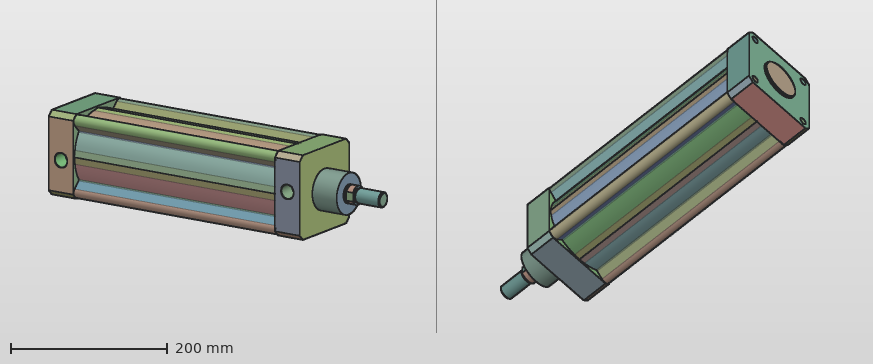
import cadquery as cq
import math

TOTAL_LENGTH = 483.0
BOSS_LENGTH = 3.5
CAP_LENGTH = 38.0
BARREL_LENGTH = 312.0
COLLAR_LENGTH = 37.5

CAP_SIDE = 112.0
CAP_CHAMFER = 7.2
COLLAR_DIAMETER = 55.0
BOSS_CHAMFER = 1.0
PORT_DIAMETER = 19.0
PORT_DEPTH = 24.0
PORT_CHAMFER = 0.5
PORT_OFFSET = 6.5
SCREW_HOLE_DIAMETER = 10.0
SCREW_HOLE_OFFSET = 44.5

RIDGE_HEIGHT = 53.5
RIDGE_HALF_WIDTH = 9.0
SIDE_ARC_RADIUS = 52.5
SIDE_ARC_SHIFT = 2.0
RIB_WIDTH = 15.5
RIB_RADIUS = RIB_WIDTH / 2
RIB_ROOT_FILLET = 1.5
RIB_CENTRE = 47.5

ROD_DIAMETER = 25.0
ROD_PROJECTION = 14.0
ROD_GROOVE_OFFSET = 2.0
ROD_GROOVE_WIDTH = 1.5
ROD_GROOVE_DEPTH = 0.5
FLATS_WIDTH = 22.0
FLATS_LENGTH = 10.0
NECK_DIAMETER = 19.0
NECK_LENGTH = 2.5
THREAD_DIAMETER = 20.5
THREAD_CHAMFER = 1.5

TOLERANCE = 0.005

REAR_CAP_START = BOSS_LENGTH
BARREL_START = REAR_CAP_START + CAP_LENGTH
FRONT_CAP_START = BARREL_START + BARREL_LENGTH
COLLAR_START = FRONT_CAP_START + CAP_LENGTH
COLLAR_END = COLLAR_START + COLLAR_LENGTH
ROD_SHOULDER = COLLAR_END + ROD_PROJECTION
ROD_GROOVE_START = COLLAR_END + ROD_GROOVE_OFFSET
THREAD_START = ROD_SHOULDER + NECK_LENGTH


def section_plane(x):
    """Plane across the axis at x, with local X along +Y and local Y along +Z."""
    return cq.Workplane("YZ", origin=(x, 0, 0))


def axial_cylinder(x_start, x_end, diameter):
    return section_plane(x_start).circle(diameter / 2).extrude(x_end - x_start)


def cap_block(x_start):
    block = section_plane(x_start).rect(CAP_SIDE, CAP_SIDE).extrude(CAP_LENGTH)
    return block.edges("|X").chamfer(CAP_CHAMFER)


def port_cutter(cap_start, z):
    """Blind air port with a chamfered mouth, in the -Y side of a cap midway along its length."""
    plane = cq.Workplane("XZ", origin=(cap_start + CAP_LENGTH / 2, -CAP_SIDE / 2, z))
    bore = plane.circle(PORT_DIAMETER / 2).extrude(-PORT_DEPTH)
    mouth = cq.Solid.makeCone(
        PORT_DIAMETER / 2 + PORT_CHAMFER,
        PORT_DIAMETER / 2,
        PORT_CHAMFER,
        pnt=plane.plane.origin,
        dir=cq.Vector(0, 1, 0),
    )
    return bore.union(cq.Workplane(mouth))


def make_rear_cap():
    """Rear cap with a low round boss, four through screw holes and an air port."""
    boss = axial_cylinder(0, REAR_CAP_START, COLLAR_DIAMETER)
    boss = boss.faces("<X").edges().chamfer(BOSS_CHAMFER)
    cap = cap_block(REAR_CAP_START).union(boss)
    screw_holes = (
        section_plane(REAR_CAP_START)
        .rect(2 * SCREW_HOLE_OFFSET, 2 * SCREW_HOLE_OFFSET, forConstruction=True)
        .vertices()
        .circle(SCREW_HOLE_DIAMETER / 2)
        .extrude(CAP_LENGTH)
    )
    return cap.cut(screw_holes).cut(port_cutter(REAR_CAP_START, -PORT_OFFSET))


def make_front_cap():
    """Front cap with a long round collar, a bore for the rod and an air port."""
    collar = axial_cylinder(COLLAR_START, COLLAR_END, COLLAR_DIAMETER)
    cap = cap_block(FRONT_CAP_START).union(collar)
    rod_bore = axial_cylinder(FRONT_CAP_START, COLLAR_END, ROD_DIAMETER)
    return cap.cut(rod_bore).cut(port_cutter(FRONT_CAP_START, PORT_OFFSET))


def rotated(point, quarter_turns):
    """Turn a section point by whole quarter turns about the axis."""
    y, z = point
    for _ in range(quarter_turns % 4):
        y, z = -z, y
    return (y, z)


def mirrored(point):
    """Mirror a section point to the other side of the ridge."""
    y, z = point
    return (-y, z)


def side_arc_point(across):
    """Point on the curved half of the +Z side, `across` away from the ridge towards +Y."""
    height = math.sqrt(SIDE_ARC_RADIUS**2 - (across - SIDE_ARC_SHIFT) ** 2)
    return (across, height)


def barrel_core():
    """Four equal sides, each a low ridge between two arcs that run down to the diagonals."""
    half_shift = SIDE_ARC_SHIFT / 2
    diagonal = half_shift + math.sqrt(SIDE_ARC_RADIUS**2 / 2 - half_shift**2)
    ridge_foot = side_arc_point(RIDGE_HALF_WIDTH)
    arc_middle = side_arc_point((RIDGE_HALF_WIDTH + diagonal) / 2)

    outline = section_plane(BARREL_START).moveTo(-diagonal, diagonal)
    for turns in range(0, -4, -1):
        outline = outline.threePointArc(
            rotated(mirrored(arc_middle), turns), rotated(mirrored(ridge_foot), turns)
        )
        outline = outline.lineTo(*rotated((0, RIDGE_HEIGHT), turns))
        outline = outline.lineTo(*rotated(ridge_foot, turns))
        outline = outline.threePointArc(rotated(arc_middle, turns), rotated((diagonal, diagonal), turns))
    return outline.close().extrude(BARREL_LENGTH)


def barrel_rib():
    """Round-ended rib along the diagonal towards +Y +Z."""
    reach = RIB_CENTRE * math.sqrt(2)
    return (
        section_plane(BARREL_START)
        .moveTo(0, RIB_RADIUS)
        .lineTo(reach, RIB_RADIUS)
        .threePointArc((reach + RIB_RADIUS, 0), (reach, -RIB_RADIUS))
        .lineTo(0, -RIB_RADIUS)
        .close()
        .extrude(BARREL_LENGTH)
        .rotate((0, 0, 0), (1, 0, 0), 45)
    )


def is_rib_root(edge):
    """True for a lengthwise edge where a flat rib side meets a curved barrel side."""
    centre = edge.Center()
    diagonal_offset = abs(abs(centre.y) - abs(centre.z)) / math.sqrt(2)
    on_rib_side = abs(diagonal_offset - RIB_RADIUS) < TOLERANCE
    inside_rib_end = abs(centre.y) + abs(centre.z) < 2 * RIB_CENTRE - TOLERANCE
    is_lengthwise = abs(edge.Length() - BARREL_LENGTH) < TOLERANCE
    return is_lengthwise and on_rib_side and inside_rib_end


def make_barrel():
    """Barrel with a rib along each of its four corners."""
    barrel = barrel_core()
    rib = barrel_rib()
    for turns in range(4):
        barrel = barrel.union(rib.rotate((0, 0, 0), (1, 0, 0), 90 * turns))
    rib_roots = [edge for edge in barrel.edges().vals() if is_rib_root(edge)]
    return barrel.newObject(rib_roots).fillet(RIB_ROOT_FILLET)


def wrench_flat_cutter(side):
    """Block that leaves one wrench flat on the -Y (side -1) or +Y (side +1) side of the rod."""
    block = cq.Workplane("XY").box(FLATS_LENGTH, ROD_DIAMETER, ROD_DIAMETER)
    x = ROD_SHOULDER - FLATS_LENGTH / 2
    y = side * (FLATS_WIDTH + ROD_DIAMETER) / 2
    return block.translate((x, y, 0))


def rod_groove_cutter():
    groove_end = ROD_GROOVE_START + ROD_GROOVE_WIDTH
    ring = axial_cylinder(ROD_GROOVE_START, groove_end, ROD_DIAMETER)
    return ring.cut(axial_cylinder(ROD_GROOVE_START, groove_end, ROD_DIAMETER - 2 * ROD_GROOVE_DEPTH))


def make_piston_rod():
    """Rod seated in the front cap, with wrench flats, a neck and a chamfered thread end."""
    rod = axial_cylinder(FRONT_CAP_START, ROD_SHOULDER, ROD_DIAMETER)
    rod = rod.cut(rod_groove_cutter())
    for side in (-1, 1):
        rod = rod.cut(wrench_flat_cutter(side))
    neck = axial_cylinder(ROD_SHOULDER, THREAD_START, NECK_DIAMETER)
    thread = axial_cylinder(THREAD_START, TOTAL_LENGTH, THREAD_DIAMETER)
    thread = thread.faces(">X").edges().chamfer(THREAD_CHAMFER)
    return rod.union(neck).union(thread)


rear_cap = make_rear_cap()
barrel = make_barrel()
front_cap = make_front_cap()
piston_rod = make_piston_rod()

result = cq.Compound.makeCompound([rear_cap.val(), barrel.val(), front_cap.val(), piston_rod.val()])